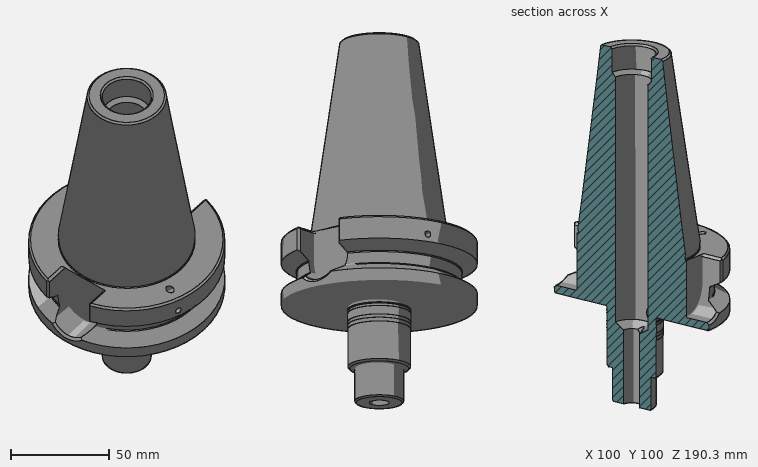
import cadquery as cq
import math

TOLERANCE = 0.01

taper_top_z = 101.8
flange_top_z = -3.0
flange_bottom_z = -38.0
shank_shoulder_z = -70.5
bottom_z = -88.5

gauge_radius = 69.85 / 2
taper_slope = 3.5 / 24
tip_chamfer = 0.9
neck_relief = 0.4
neck_foot_height = 0.5

flange_radius = 100.0 / 2
flange_top_chamfer = 1.0
flange_bottom_fillet = 1.0
groove_radius = 84.2 / 2
groove_middle_z = -23.15
groove_floor_width = 6.6
groove_corner_fillet = 0.7
groove_flank_angle = 30

shank_radius = 32.0 / 2
collar_radius = 32.5 / 2
collar_bands = [(-40.2, -39.6), (-46.0, -41.5), (-49.7, -47.7)]
flange_root_fillet = 0.8
shank_chamfer = 1.0
pilot_radius = 25.0 / 2
pilot_chamfer = 0.8
pilot_root_fillet = 0.6

counterbore_radius = 25.0 / 2
counterbore_mouth_chamfer = 1.0
counterbore_depth = 13.5
stud_hole_radius = 20.75 / 2
passage_radius = 10.11 / 2
passage_top_z = -48.6
drill_half_angle = 59

slot_width = 25.7
slot_floor_y = 35.4
slot_bottom_z = -33.5
slot_chamfer = 1.3
slot_floor_fillet = 0.6

coolant_direction = 160
coolant_mouth_radius = 41.9
coolant_tilt = 40
coolant_diameter = 3.9
plug_hole_diameter = 3.24
plug_hole_z = -11.4


def turned(points):
    """Revolve a closed (radius, z) outline about the Z axis."""
    return cq.Workplane("XZ").polyline(points).close().revolve(360, (0, 0, 0), (0, 1, 0))


def ring_band(radius, low_z, high_z):
    """Solid cylinder about the Z axis between two heights."""
    return cq.Workplane("XY").workplane(offset=low_z).circle(radius).extrude(high_z - low_z)


def root_fillet(radius, shoulder_z, size):
    """Concave ring that blends a cylinder into the shoulder above it."""
    arc_middle = size * (1 - math.sqrt(0.5))
    return (
        cq.Workplane("XZ")
        .moveTo(0, shoulder_z)
        .lineTo(radius + size, shoulder_z)
        .threePointArc((radius + arc_middle, shoulder_z - arc_middle), (radius, shoulder_z - size))
        .lineTo(0, shoulder_z - size)
        .close()
        .revolve(360, (0, 0, 0), (0, 1, 0))
    )


def taper():
    """Tool taper with a chamfered tip, standing on a slightly relieved neck."""
    tip_radius = gauge_radius - taper_slope * taper_top_z
    chamfer_z = taper_top_z - tip_chamfer
    return turned([
        (0, flange_top_z),
        (gauge_radius, flange_top_z),
        (gauge_radius - neck_relief, flange_top_z + neck_foot_height),
        (gauge_radius, 0),
        (gauge_radius - taper_slope * chamfer_z, chamfer_z),
        (tip_radius - tip_chamfer, taper_top_z),
        (0, taper_top_z),
    ])


def flange():
    """Flange disc with a V groove that is symmetric about its middle height."""
    half_floor = groove_floor_width / 2
    flank_height = (flange_radius - groove_radius) * math.tan(math.radians(groove_flank_angle))
    half_mouth = half_floor + flank_height
    body = turned([
        (0, flange_bottom_z),
        (flange_radius, flange_bottom_z),
        (flange_radius, groove_middle_z - half_mouth),
        (groove_radius, groove_middle_z - half_floor),
        (groove_radius, groove_middle_z + half_floor),
        (flange_radius, groove_middle_z + half_mouth),
        (flange_radius, flange_top_z),
        (0, flange_top_z),
    ])
    groove_corners = body.edges("%CIRCLE").edges(cq.selectors.RadiusNthSelector(0))
    body = groove_corners.fillet(groove_corner_fillet)
    body = body.faces(">Z").edges().chamfer(flange_top_chamfer)
    return body.faces("<Z").edges().fillet(flange_bottom_fillet)


def slot_prism(top_flare):
    """Round-bottomed slot on the -Y side, widening by top_flare at 45 degrees below the flange top."""
    half_width = slot_width / 2
    arc_z = slot_bottom_z + half_width
    outline = (
        cq.Workplane("XZ", origin=(0, -slot_floor_y, 0))
        .moveTo(-half_width, flange_top_z - top_flare)
        .lineTo(-half_width, arc_z)
        .threePointArc((0, slot_bottom_z), (half_width, arc_z))
        .lineTo(half_width, flange_top_z - top_flare)
    )
    if top_flare > 0:
        outline = outline.lineTo(half_width + top_flare, flange_top_z)
        outline = outline.lineTo(-half_width - top_flare, flange_top_z)
    prism = outline.close().extrude(flange_radius)
    floor_corners = prism.faces(">Y").edges(cq.selectors.BoxSelector(
        (-slot_width, -flange_radius, slot_bottom_z - slot_width),
        (slot_width, 0, flange_top_z - TOLERANCE),
    ))
    return floor_corners.fillet(slot_floor_fillet)


def is_slot_rim(edge):
    """True for the edges where a slot wall meets the outer cylinder of the flange."""
    middle = edge.Center()
    inside_slot = abs(middle.x) <= slot_width / 2 + TOLERANCE and abs(middle.y) > slot_floor_y
    on_rim = all(abs(math.hypot(v.X, v.Y) - flange_radius) < TOLERANCE for v in edge.Vertices())
    return inside_slot and on_rim


def cut_slot_pair(body, prism):
    """Cut the prism on the -Y side and again, half a turn round, on the +Y side."""
    return body.cut(prism).cut(prism.rotate((0, 0, 0), (0, 0, 1), 180))


def slotted_flange():
    """Flange with both drive slots, their rims chamfered and their top edges flared."""
    body = cut_slot_pair(flange(), slot_prism(0))
    rims = [edge for edge in body.val().Edges() if is_slot_rim(edge)]
    body = body.newObject(rims).chamfer(slot_chamfer)
    return cut_slot_pair(body, slot_prism(slot_chamfer))


def shank():
    """Collared shank with a thinner pilot below it, both blended at their roots."""
    body = ring_band(shank_radius, shank_shoulder_z, flange_bottom_z)
    body = body.faces("<Z").edges().chamfer(shank_chamfer)
    for low_z, high_z in collar_bands:
        body = body.union(ring_band(collar_radius, low_z, high_z))
    pilot = ring_band(pilot_radius, bottom_z, shank_shoulder_z)
    pilot = pilot.faces("<Z").edges().chamfer(pilot_chamfer)
    flange_root = root_fillet(shank_radius, flange_bottom_z, flange_root_fillet)
    pilot_root = root_fillet(pilot_radius, shank_shoulder_z, pilot_root_fillet)
    return body.union(pilot).union(flange_root).union(pilot_root)


def axial_bore():
    """Counterbore, stud hole with a drill point, and a passage through to the bottom."""
    seat_depth = counterbore_radius - stud_hole_radius
    counterbore_z = taper_top_z - counterbore_depth
    drill_point = (stud_hole_radius - passage_radius) / math.tan(math.radians(drill_half_angle))
    return turned([
        (0, bottom_z),
        (passage_radius, bottom_z),
        (passage_radius, passage_top_z),
        (stud_hole_radius, passage_top_z + drill_point),
        (stud_hole_radius, counterbore_z - seat_depth),
        (counterbore_radius, counterbore_z),
        (counterbore_radius, taper_top_z - counterbore_mouth_chamfer),
        (counterbore_radius + counterbore_mouth_chamfer, taper_top_z),
        (0, taper_top_z),
    ])


def coolant_hole_pair():
    """Inclined holes from the flange face to the bore, each with a radial plug hole."""
    tilt = math.radians(coolant_tilt)
    run = coolant_mouth_radius / math.sin(tilt)
    inward = cq.Vector(-math.sin(tilt), 0, -math.cos(tilt))
    mouth = cq.Vector(coolant_mouth_radius, 0, flange_top_z)
    start = mouth - inward * coolant_diameter
    inclined = cq.Solid.makeCylinder(coolant_diameter / 2, run + coolant_diameter, start, inward)

    plug_end = coolant_mouth_radius + (plug_hole_z - flange_top_z) * math.tan(tilt)
    plug = cq.Solid.makeCylinder(
        plug_hole_diameter / 2,
        flange_radius - plug_end,
        cq.Vector(plug_end, 0, plug_hole_z),
        cq.Vector(1, 0, 0),
    )
    hole = cq.Workplane(obj=inclined).union(cq.Workplane(obj=plug))
    hole = hole.rotate((0, 0, 0), (0, 0, 1), coolant_direction)
    return hole.union(hole.rotate((0, 0, 0), (0, 0, 1), 180))


body = taper().union(slotted_flange()).union(shank())
result = body.cut(axial_bore()).cut(coolant_hole_pair())